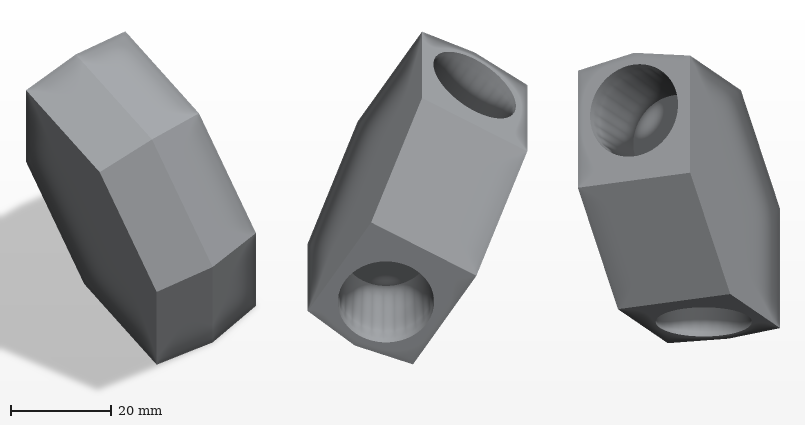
import math

import cadquery as cq

overall = 46.33
width = 24.5
ridge_slope = 10.0
ridge_leg = 25.8
socket_mouth_diameter = 19.2
socket_floor_diameter = 18.1
socket_depth = 20.0
socket_ridge_distance = 12.06

half_width = width / 2
ridge_rise = half_width * math.tan(math.radians(ridge_slope))
end_face_start = overall - ridge_rise - width
socket_axis = overall - socket_ridge_distance


def plain_elbow():
    """Elbow outline at the ridge, extruded over the full width."""
    outline = [
        (0, end_face_start),
        (0, overall),
        (ridge_leg, overall),
        (overall, ridge_leg),
        (overall, 0),
        (end_face_start, 0),
    ]
    return cq.Workplane("XZ").polyline(outline).close().extrude(half_width, both=True)


def ridged_envelope():
    """Tapered body whose outer sides slope away from the ridge; its inner sides clear the elbow."""
    clearance = 2 * ridge_rise
    outline = [
        (-clearance, -clearance),
        (-clearance, overall),
        (ridge_leg, overall),
        (overall, ridge_leg),
        (overall, -clearance),
    ]
    front_half = cq.Workplane("XZ").polyline(outline).close().extrude(half_width, taper=ridge_slope)
    return front_half.union(front_half.mirror("XZ"))


def socket(center, direction):
    """Tapered blind socket, narrowing from its mouth to its flat floor."""
    cone = cq.Solid.makeCone(
        socket_mouth_diameter / 2,
        socket_floor_diameter / 2,
        socket_depth,
        pnt=cq.Vector(*center),
        dir=cq.Vector(*direction),
    )
    return cq.Workplane(obj=cone)


result = plain_elbow().intersect(ridged_envelope())
result = result.cut(socket((0, 0, socket_axis), (1, 0, 0)))
result = result.cut(socket((socket_axis, 0, 0), (0, 0, 1)))